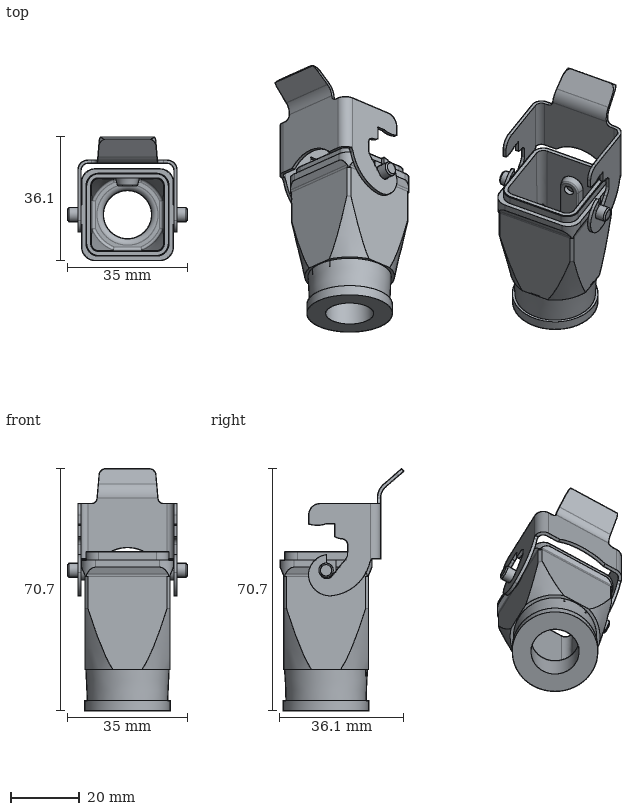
import math

import cadquery as cq

HOOD_HALF = 12.4
HOOD_EDGE_CHAMFER = 0.85
HOOD_BOTTOM_Z = 12.0
HOOD_CONE_BOTTOM_R = 13.1
HOOD_CONE_TOP_R = 17.0
HOOD_CONE_TOP_Z = 30.15

NECK_BOTTOM_R = 11.75
NECK_TOP_R = 12.15
FOOT_R = 12.5
FOOT_HEIGHT = 3.0

FLANGE_HALF = 13.4
FLANGE_CORNER_R = 4.0
FLANGE_TOP_Z = 44.0
FLANGE_EDGE_HEIGHT = 2.1
FLANGE_SLOPE_HEIGHT = 2.35
FLANGE_ROOT_BLEND_R = 1.8

RIM_HALF = 12.1
RIM_CORNER_R = 3.7
RIM_TOP_Z = 46.55
RIM_CHAMFER = 0.2

CAVITY_HALF = 10.75
CAVITY_CORNER_R = RIM_CORNER_R - (RIM_HALF - CAVITY_HALF)
CAVITY_DRAFT = 0.6
CAVITY_FLOOR_Z = 12.0
CAVITY_CONE_FLOOR_R = 11.0
CAVITY_FLOOR_FILLET = 1.0
MOUTH_TOP_R = 8.9
BORE_R = 7.0

POST_ROOT_HALF = 3.7
POST_TIP_HALF = 2.9
POST_TIP_FILLET = 0.5
POST_AXIS_Z = 36.6
POST_TIP_Y = 8.4
POST_HOLE_R = 1.5
POST_HOLE_DEPTH = 1.5

PIN_R = 2.1
PIN_AXIS_Z = 41.0
PIN_END_X = 17.5
PIN_CHAMFER = 0.45
PAD_R = 2.9

SHEET = 1.0
LEVER_OUTER_X = 14.5
LEVER_BACK_Y = 15.95
LEVER_BEND_R = 3.0
LEVER_TOP_Z = 60.5
LEVER_BACK_BOTTOM_Z = 44.35
LEVER_NOSE_Y = -5.1
LEVER_NOSE_R = 3.4
NOSE_BOTTOM_Z = 54.45
CATCH_LIP_MID = (-3.0, 54.1)
CATCH_LIP_END = (-0.9, 54.25)
CATCH_START_Y = 0.0
CATCH_TOP_Z = 54.55
CATCH_BACK_Y = 2.5
CATCH_BOTTOM_Z = 50.8
ARM_FRONT_Y = 6.3
THROAT_LEDGE_MID = (3.5, 50.35)
THROAT_LEDGE_END = (4.6, 50.15)
THROAT_CORNER_MID = (5.8, 49.6)
THROAT_CORNER_END_Z = 48.5
HOOK_TIP_Y = 0.15
HOOK_TIP_Z = 45.6
SLOT_MOUTH_MID = (5.9, 44.5)
SLOT_MOUTH_END = (4.9, 43.3)
SLOT_BACK_END = (1.7, 39.3)
SLOT_BOTTOM = (0.2, 38.55)
HOOK_FRONT_UPPER = (-3.3, 43.9)
HOOK_FRONT = (-5.1, 40.4)
HOOK_FRONT_LOWER = (-3.2, 35.3)
HOOK_BOTTOM = (1.4, 33.55)
HOOK_REAR_MID = (8.6, 36.55)
HOOK_REAR_END = (12.8, 43.45)
BACK_CORNER_Y = 13.4
ARCH_R = 10.6
ARCH_TOP_Z = 47.6

TAB_BEND_Z = 62.1
TAB_BEND_R = 5.3
TAB_ANGLE = 49.15
TAB_TOP_Z = 70.65
TAB_TOP_HALF = 8.15
TAB_BEND_HALF = 8.9
TAB_CORNER_R = 2.0
TAB_ROOT_R = 1.6


def turned_solid(sections):
    """Solid of revolution about Z through the given (radius, z) points."""
    outline = [(0, sections[0][1])] + sections + [(0, sections[-1][1])]
    return cq.Workplane("XZ").polyline(outline).close().revolve(360, (0, 0), (0, 1))


def rounded_square(half, corner_r, bottom_z, top_z):
    side = 2 * half
    block = cq.Workplane("XY", origin=(0, 0, bottom_z)).rect(side, side).extrude(top_z - bottom_z)
    return block.edges("|Z").fillet(corner_r)


def make_flared_square():
    """Sharp-cornered square body that flares out to the flange, blended at the foot of the flare."""
    slope_top_z = FLANGE_TOP_Z - FLANGE_EDGE_HEIGHT
    slope_foot_z = slope_top_z - FLANGE_SLOPE_HEIGHT
    overhang = FLANGE_HALF - HOOD_HALF
    slope_angle = math.atan2(overhang, FLANGE_SLOPE_HEIGHT)
    tangent = FLANGE_ROOT_BLEND_R * math.tan(slope_angle / 2)
    blend_foot = (HOOD_HALF, slope_foot_z - tangent)
    blend_top = (
        HOOD_HALF + tangent * math.sin(slope_angle),
        slope_foot_z + tangent * math.cos(slope_angle),
    )
    blend_mid = (
        HOOD_HALF + FLANGE_ROOT_BLEND_R * (1 - math.cos(slope_angle / 2)),
        blend_foot[1] + FLANGE_ROOT_BLEND_R * math.sin(slope_angle / 2),
    )

    def profile_block(plane):
        half = (
            cq.Workplane(plane)
            .moveTo(0, HOOD_BOTTOM_Z)
            .lineTo(HOOD_HALF, HOOD_BOTTOM_Z)
            .lineTo(*blend_foot)
            .threePointArc(blend_mid, blend_top)
            .lineTo(FLANGE_HALF, slope_top_z)
            .lineTo(FLANGE_HALF, FLANGE_TOP_Z)
            .lineTo(0, FLANGE_TOP_Z)
            .close()
            .extrude(FLANGE_HALF, both=True)
        )
        return half.union(half.rotate((0, 0, 0), (0, 0, 1), 180))

    flared = profile_block("XZ").intersect(profile_block("YZ"))
    return flared, blend_foot[1]


def make_body():
    flared, flare_foot_z = make_flared_square()
    side = 2 * HOOD_HALF
    shaft = cq.Workplane("XY", origin=(0, 0, HOOD_BOTTOM_Z)).rect(side, side)
    shaft = shaft.extrude(flare_foot_z - HOOD_BOTTOM_Z).edges("|Z").chamfer(HOOD_EDGE_CHAMFER)
    cone = turned_solid(
        [
            (HOOD_CONE_BOTTOM_R, HOOD_BOTTOM_Z),
            (HOOD_CONE_TOP_R, HOOD_CONE_TOP_Z),
            (2 * HOOD_CONE_TOP_R, HOOD_CONE_TOP_Z),
            (2 * HOOD_CONE_TOP_R, FLANGE_TOP_Z),
        ]
    )
    rounded = rounded_square(FLANGE_HALF, FLANGE_CORNER_R, flare_foot_z, FLANGE_TOP_Z)
    neck = turned_solid(
        [
            (FOOT_R, 0),
            (FOOT_R, FOOT_HEIGHT),
            (NECK_BOTTOM_R, FOOT_HEIGHT),
            (NECK_TOP_R, HOOD_BOTTOM_Z),
        ]
    )
    return flared.intersect(shaft.intersect(cone).union(rounded)).union(neck)


def make_rim():
    rim = rounded_square(RIM_HALF, RIM_CORNER_R, HOOD_CONE_TOP_Z, RIM_TOP_Z)
    return rim.faces(">Z").chamfer(RIM_CHAMFER)


def make_cavity():
    depth = RIM_TOP_Z - CAVITY_FLOOR_Z
    side = 2 * CAVITY_HALF
    outline = cq.Sketch().rect(side, side).vertices().fillet(CAVITY_CORNER_R)
    square = cq.Workplane("XY", origin=(0, 0, RIM_TOP_Z)).placeSketch(outline)
    square = square.extrude(-depth, taper=CAVITY_DRAFT)
    cone_slope = (HOOD_CONE_TOP_R - HOOD_CONE_BOTTOM_R) / (HOOD_CONE_TOP_Z - HOOD_BOTTOM_Z)
    cone = turned_solid(
        [
            (CAVITY_CONE_FLOOR_R, CAVITY_FLOOR_Z),
            (CAVITY_CONE_FLOOR_R + cone_slope * depth, RIM_TOP_Z),
        ]
    )
    return square.intersect(cone).faces("<Z").edges().fillet(CAVITY_FLOOR_FILLET)


def make_cable_passage():
    """Bore with a rounded mouth in the cavity floor."""
    mouth_r = MOUTH_TOP_R - BORE_R
    mid = mouth_r * (1 - math.sqrt(0.5))
    return (
        cq.Workplane("XZ")
        .lineTo(BORE_R, 0)
        .lineTo(BORE_R, CAVITY_FLOOR_Z - mouth_r)
        .threePointArc((BORE_R + mid, CAVITY_FLOOR_Z - mid), (MOUTH_TOP_R, CAVITY_FLOOR_Z))
        .lineTo(0, CAVITY_FLOOR_Z)
        .close()
        .revolve(360, (0, 0), (0, 1))
    )


def make_screw_post():
    """Drafted post with a round top, rooted in the rounded mouth of the bore."""
    root_y = (CAVITY_HALF + HOOD_HALF) / 2
    length = root_y - POST_TIP_Y
    draft = math.degrees(math.atan2(POST_ROOT_HALF - POST_TIP_HALF, length))
    leg = POST_AXIS_Z - CAVITY_FLOOR_Z + MOUTH_TOP_R - BORE_R
    post = (
        cq.Workplane("XZ", origin=(0, root_y, POST_AXIS_Z))
        .moveTo(-POST_ROOT_HALF, -leg)
        .lineTo(-POST_ROOT_HALF, 0)
        .threePointArc((0, POST_ROOT_HALF), (POST_ROOT_HALF, 0))
        .lineTo(POST_ROOT_HALF, -leg)
        .close()
        .extrude(length, taper=draft)
    )
    post = post.faces("<Y").edges().fillet(POST_TIP_FILLET)
    hole = cq.Workplane("XZ", origin=(0, POST_TIP_Y + POST_HOLE_DEPTH, POST_AXIS_Z))
    hole = hole.circle(POST_HOLE_R).extrude(POST_HOLE_DEPTH)
    return post.cut(hole)


def make_hood():
    shell = make_body().union(make_rim())
    return shell.cut(make_cavity()).cut(make_cable_passage()).union(make_screw_post())


def make_hinge():
    """Pad and pin on the +X side."""
    pad_root_x = (CAVITY_HALF + HOOD_HALF) / 2
    pad_length = LEVER_OUTER_X - SHEET - pad_root_x
    pad_height = FLANGE_TOP_Z - PIN_AXIS_Z
    base = cq.Workplane("YZ", origin=(pad_root_x, 0, PIN_AXIS_Z))
    pad = (
        base.moveTo(-PAD_R, pad_height)
        .lineTo(-PAD_R, 0)
        .threePointArc((0, -PAD_R), (PAD_R, 0))
        .lineTo(PAD_R, pad_height)
        .close()
        .extrude(pad_length)
    )
    pin = base.circle(PIN_R).extrude(PIN_END_X - pad_root_x).faces(">X").chamfer(PIN_CHAMFER)
    return pad.union(pin)


def make_lever_profile():
    """Side outline of the lever, a hook around the pin, as a block across X."""
    nose_arc_z = LEVER_TOP_Z - LEVER_NOSE_R
    nose_arc_y = LEVER_NOSE_Y + LEVER_NOSE_R
    nose_mid = LEVER_NOSE_R * math.sqrt(0.5)
    pin_mid = PIN_R * math.sqrt(0.5)
    return (
        cq.Workplane("YZ", origin=(-LEVER_OUTER_X, 0, 0))
        .moveTo(LEVER_BACK_Y, LEVER_TOP_Z)
        .lineTo(nose_arc_y, LEVER_TOP_Z)
        .threePointArc((nose_arc_y - nose_mid, nose_arc_z + nose_mid), (LEVER_NOSE_Y, nose_arc_z))
        .lineTo(LEVER_NOSE_Y, NOSE_BOTTOM_Z)
        .threePointArc(CATCH_LIP_MID, CATCH_LIP_END)
        .lineTo(CATCH_START_Y, CATCH_TOP_Z)
        .lineTo(CATCH_BACK_Y, CATCH_TOP_Z)
        .lineTo(CATCH_BACK_Y, CATCH_BOTTOM_Z)
        .threePointArc(THROAT_LEDGE_MID, THROAT_LEDGE_END)
        .threePointArc(THROAT_CORNER_MID, (ARM_FRONT_Y, THROAT_CORNER_END_Z))
        .lineTo(ARM_FRONT_Y, HOOK_TIP_Z)
        .threePointArc(SLOT_MOUTH_MID, SLOT_MOUTH_END)
        .lineTo(*SLOT_BACK_END)
        .threePointArc(SLOT_BOTTOM, (-pin_mid, PIN_AXIS_Z - pin_mid))
        .threePointArc((-pin_mid, PIN_AXIS_Z + pin_mid), (HOOK_TIP_Y, PIN_AXIS_Z + PIN_R))
        .lineTo(HOOK_TIP_Y, HOOK_TIP_Z)
        .threePointArc(HOOK_FRONT_UPPER, HOOK_FRONT)
        .threePointArc(HOOK_FRONT_LOWER, HOOK_BOTTOM)
        .threePointArc(HOOK_REAR_MID, HOOK_REAR_END)
        .lineTo(BACK_CORNER_Y, LEVER_BACK_BOTTOM_Z)
        .lineTo(LEVER_BACK_Y, LEVER_BACK_BOTTOM_Z)
        .close()
        .extrude(2 * LEVER_OUTER_X)
    )


def make_lever_bracket():
    """U-shaped sheet, cut to the side outline and arched over the hood at the back."""
    front_y = 2 * LEVER_NOSE_Y

    def channel_block(inset):
        half = LEVER_OUTER_X - inset
        back = LEVER_BACK_Y - inset
        block = cq.Workplane("XY").moveTo(-half, front_y).lineTo(-half, back).lineTo(half, back)
        block = block.lineTo(half, front_y).close().extrude(LEVER_TOP_Z)
        return block.edges("|Z and >Y").fillet(LEVER_BEND_R - inset)

    sheet = channel_block(0).cut(channel_block(SHEET))
    arch = cq.Workplane("XZ", origin=(0, LEVER_BACK_Y, ARCH_TOP_Z - ARCH_R)).circle(ARCH_R)
    arch = arch.extrude(SHEET)
    return sheet.intersect(make_lever_profile()).cut(arch)


def make_tab():
    """Finger tab rising from the back of the lever and bent outward."""
    angle = math.radians(TAB_ANGLE)
    inner_y = LEVER_BACK_Y - SHEET
    centre_y = inner_y + TAB_BEND_R

    def on_bend(radius, turn):
        return (centre_y - radius * math.cos(turn), TAB_BEND_Z + radius * math.sin(turn))

    small_r = TAB_BEND_R - SHEET
    bend_top = on_bend(TAB_BEND_R, angle)
    length = (TAB_TOP_Z - bend_top[1]) / math.cos(angle)
    tip_inner = (bend_top[0] + length * math.sin(angle), TAB_TOP_Z)
    tip_outer = (tip_inner[0] + SHEET * math.cos(angle), TAB_TOP_Z - SHEET * math.sin(angle))
    root_z = LEVER_TOP_Z - TAB_ROOT_R
    strip = (
        cq.Workplane("YZ", origin=(-LEVER_OUTER_X, 0, 0))
        .moveTo(inner_y, root_z)
        .lineTo(inner_y, TAB_BEND_Z)
        .threePointArc(on_bend(TAB_BEND_R, angle / 2), bend_top)
        .lineTo(*tip_inner)
        .lineTo(*tip_outer)
        .lineTo(*on_bend(small_r, angle))
        .threePointArc(on_bend(small_r, angle / 2), (LEVER_BACK_Y, TAB_BEND_Z))
        .lineTo(LEVER_BACK_Y, root_z)
        .close()
        .extrude(2 * LEVER_OUTER_X)
    )
    root_end = TAB_BEND_HALF + TAB_ROOT_R
    root_mid = TAB_ROOT_R * (1 - math.sqrt(0.5))
    root_x = TAB_BEND_HALF + root_mid
    outline = (
        cq.Workplane("XZ")
        .moveTo(-root_end, root_z)
        .lineTo(-root_end, LEVER_TOP_Z)
        .threePointArc((-root_x, LEVER_TOP_Z + root_mid), (-TAB_BEND_HALF, TAB_BEND_Z))
        .lineTo(-TAB_TOP_HALF, TAB_TOP_Z)
        .lineTo(TAB_TOP_HALF, TAB_TOP_Z)
        .lineTo(TAB_BEND_HALF, TAB_BEND_Z)
        .threePointArc((root_x, LEVER_TOP_Z + root_mid), (root_end, LEVER_TOP_Z))
        .lineTo(root_end, root_z)
        .close()
        .extrude(-2 * LEVER_BACK_Y)
    )
    outline = outline.faces(">Z").edges("|Y").fillet(TAB_CORNER_R)
    return strip.intersect(outline)


hinge = make_hinge()
lever = make_lever_bracket().union(make_tab())
result = make_hood().union(hinge).union(hinge.mirror("YZ")).union(lever)